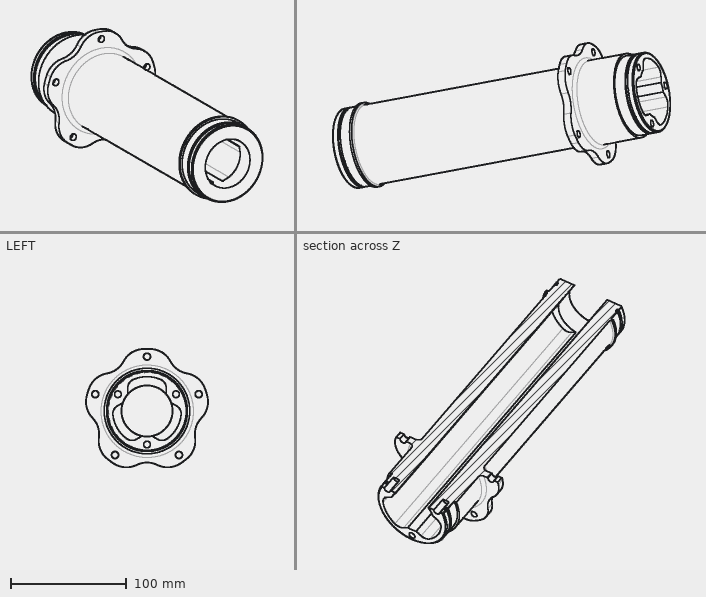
import cadquery as cq
import math

LENGTH = 294.0
TUBE_RADIUS = 35.0
BORE_RADIUS = 22.0
END_CHAMFER = 1.0

COLLAR_START = 18.0
COLLAR_RADIUS = 37.0

FLANGE_START = 57.2
FLANGE_THICKNESS = 7.0
FLANGE_END = FLANGE_START + FLANGE_THICKNESS
FLANGE_LEFT_FILLET = 3.0
FLANGE_RIGHT_FILLET = 4.0
LOBE_COUNT = 5
LOBE_TIP_RADIUS = 53.8
LOBE_CORNER_RADIUS = 20.0
VALLEY_RADIUS = 20.0
TIP_HALF_ANGLE = 4.35
FLANGE_HOLE_CIRCLE = 47.0
HOLE_DIAMETER = 5.8

GROOVE_OFFSET = 5.5
GROOVE_WIDTH = 2.5
GROOVE_DEPTH = 1.6

RING_START = 274.0
RING_WIDTH = 2.0
RING_RADIUS = 37.0
RING_FILLET = 1.0

POCKET_COUNT = 3
POCKET_WIDTH = 33.2
POCKET_OUTER_RADIUS = 29.7
POCKET_CORNER_RADIUS = 8.0
POCKET_END_WALL = 18.0
POCKET_DEPTH = LENGTH - POCKET_END_WALL

SCREW_HOLE_CIRCLE = 29.0
SCREW_HOLE_DEPTH = 15.0

TOP_ANGLE = 90.0


def polar(radius, degrees):
    angle = math.radians(degrees)
    return (radius * math.cos(angle), radius * math.sin(angle))


def cylinder(start, length, radius):
    return cq.Workplane("YZ", origin=(start, 0, 0)).circle(radius).extrude(length)


def circle_of_points(radius, count, first_angle):
    return [polar(radius, first_angle + index * 360.0 / count) for index in range(count)]


def toward(origin, target, distance):
    """Point at a distance from origin on the line to target."""
    span = math.dist(origin, target)
    return tuple(o + (t - o) * distance / span for o, t in zip(origin, target))


def corner_middle(center, first, second):
    """Middle of the lobe corner arc that runs from first to second around center."""
    halfway = tuple((a + b) / 2 for a, b in zip(first, second))
    return toward(center, halfway, LOBE_CORNER_RADIUS)


def corner_fillet(face_x, radius, size, side):
    """Concave ring of the given size where a cylinder meets a flat face; side is -1 or +1 along X."""
    far_x = face_x + side * size
    middle = size * (1 - math.sqrt(0.5))
    return (
        cq.Workplane("XY")
        .moveTo(far_x, radius)
        .threePointArc((face_x + side * middle, radius + middle), (face_x, radius + size))
        .lineTo(face_x, BORE_RADIUS)
        .lineTo(far_x, BORE_RADIUS)
        .close()
        .revolve(360, (0, 0, 0), (1, 0, 0))
    )


def flange():
    pitch = 360.0 / LOBE_COUNT
    half_pitch = pitch / 2
    corner_center_radius = LOBE_TIP_RADIUS - LOBE_CORNER_RADIUS
    along, across = polar(corner_center_radius, half_pitch - TIP_HALF_ANGLE)
    valley_center_radius = along + math.sqrt((LOBE_CORNER_RADIUS + VALLEY_RADIUS) ** 2 - across ** 2)

    outline = cq.Workplane("YZ", origin=(FLANGE_START, 0, 0))
    outline = outline.moveTo(*polar(LOBE_TIP_RADIUS, TOP_ANGLE - TIP_HALF_ANGLE))
    for index in range(LOBE_COUNT):
        axis = TOP_ANGLE + index * pitch
        valley_axis = axis + half_pitch
        next_axis = axis + pitch
        corner = polar(corner_center_radius, axis + TIP_HALF_ANGLE)
        next_corner = polar(corner_center_radius, next_axis - TIP_HALF_ANGLE)
        valley = polar(valley_center_radius, valley_axis)
        tip_end = polar(LOBE_TIP_RADIUS, axis + TIP_HALF_ANGLE)
        next_tip = polar(LOBE_TIP_RADIUS, next_axis - TIP_HALF_ANGLE)
        valley_start = toward(corner, valley, LOBE_CORNER_RADIUS)
        valley_end = toward(next_corner, valley, LOBE_CORNER_RADIUS)

        outline = (
            outline.threePointArc(polar(LOBE_TIP_RADIUS, axis), tip_end)
            .threePointArc(corner_middle(corner, tip_end, valley_start), valley_start)
            .threePointArc(polar(valley_center_radius - VALLEY_RADIUS, valley_axis), valley_end)
            .threePointArc(corner_middle(next_corner, valley_end, next_tip), next_tip)
        )
    plate = outline.close().extrude(FLANGE_THICKNESS)
    holes = (
        cq.Workplane("YZ", origin=(FLANGE_START, 0, 0))
        .pushPoints(circle_of_points(FLANGE_HOLE_CIRCLE, LOBE_COUNT, TOP_ANGLE))
        .circle(HOLE_DIAMETER / 2)
        .extrude(FLANGE_THICKNESS)
    )
    return plate.cut(holes)


def outer_body():
    tube = cylinder(0, LENGTH, TUBE_RADIUS).faces("<X or >X").edges().chamfer(END_CHAMFER)
    ring = cylinder(RING_START, RING_WIDTH, RING_RADIUS)
    collar = cylinder(COLLAR_START, FLANGE_START - COLLAR_START, COLLAR_RADIUS)
    body = tube.union(ring).union(collar).union(flange())
    body = body.union(corner_fillet(FLANGE_START, COLLAR_RADIUS, FLANGE_LEFT_FILLET, -1))
    body = body.union(corner_fillet(FLANGE_END, TUBE_RADIUS, FLANGE_RIGHT_FILLET, 1))
    return body.union(corner_fillet(RING_START, TUBE_RADIUS, RING_FILLET, -1))


def groove(start):
    blank = cylinder(start, GROOVE_WIDTH, TUBE_RADIUS)
    return blank.cut(cylinder(start, GROOVE_WIDTH, TUBE_RADIUS - GROOVE_DEPTH))


def pocket():
    """One pocket, pointing toward +Z from the axis."""
    half_width = POCKET_WIDTH / 2
    wall_top = math.sqrt(POCKET_OUTER_RADIUS ** 2 - half_width ** 2)
    return (
        cq.Workplane("YZ")
        .moveTo(-half_width, 0)
        .lineTo(-half_width, wall_top)
        .threePointArc((0, POCKET_OUTER_RADIUS), (half_width, wall_top))
        .lineTo(half_width, 0)
        .close()
        .extrude(POCKET_DEPTH)
        .edges("|X")
        .edges(">Z")
        .fillet(POCKET_CORNER_RADIUS)
    )


def screw_holes():
    return (
        cq.Workplane("YZ")
        .pushPoints(circle_of_points(SCREW_HOLE_CIRCLE, POCKET_COUNT, -TOP_ANGLE))
        .circle(HOLE_DIAMETER / 2)
        .extrude(SCREW_HOLE_DEPTH)
    )


result = outer_body()
result = result.cut(groove(GROOVE_OFFSET))
result = result.cut(groove(LENGTH - GROOVE_OFFSET - GROOVE_WIDTH))
result = result.cut(cylinder(0, LENGTH, BORE_RADIUS))
for index in range(POCKET_COUNT):
    turn = index * 360.0 / POCKET_COUNT
    result = result.cut(pocket().rotate((0, 0, 0), (1, 0, 0), turn))
result = result.cut(screw_holes())